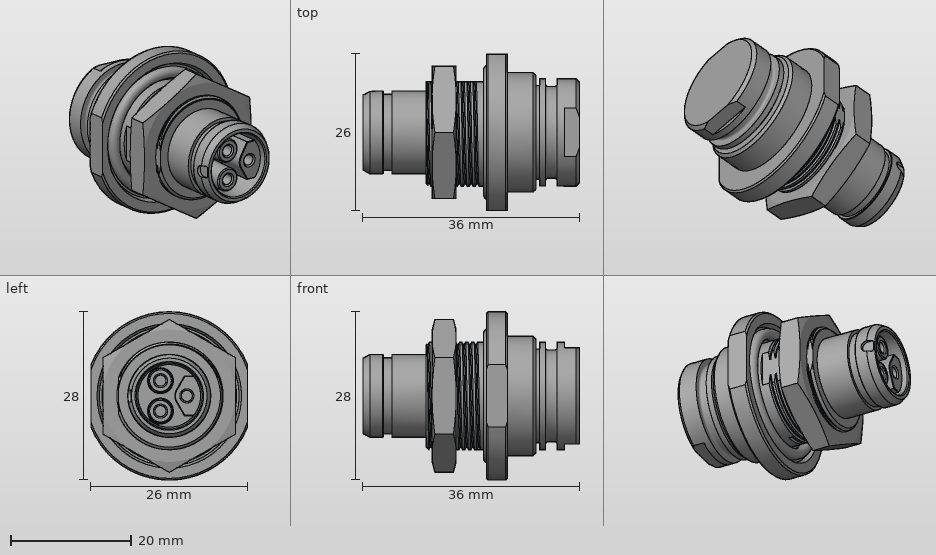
import cadquery as cq
import math

overall_length = 36.0

shank_radius = 6.9
nose_chamfer_length = 1.2
nose_tip_radius = 6.27
latch_groove_start = 3.3
latch_groove_end = 4.8
latch_groove_radius = 6.35
latch_edge_chamfer = 0.1

marker_width = 2.0
marker_length = 2.2
marker_floor_y = 6.33

thread_start = 10.5
thread_radius = 8.95
thread_root_radius = 8.55
thread_tip_radius = 8.5
thread_pitch = 1.0
thread_turns = 10.0
thread_helix_start = 9.25
thread_root_width = 0.2
thread_mouth_width = 0.6
thread_cutter_rise = 0.3
barrel_flat_y = 8.42

flange_start = 20.5
flange_end = 24.0
flange_radius = 14.0
flange_chamfer = 0.3
flange_across_flats = 26.0
seal_groove_radius = 12.0
seal_groove_floor_radius = 11.6
seal_groove_depth = 1.0
seal_section_radius = 0.9
seal_center_radius = 10.3
seal_protrusion = 0.5

collar_end = 28.75
collar_radius = 9.95
collar_chamfer = 0.5
rear_neck_radius = 7.8
ring_start = 29.35
ring_end = 30.35
ring_radius = 8.95
rear_groove_radius = 7.65
rear_groove_end = 32.25
rear_groove_fillet = 0.4
rear_chamfer = 0.6
rear_flat_start = 33.5
rear_across_flats = 16.0

bore_mouth_radius = 5.5
bore_floor_radius = 5.2
bore_chamfer = 0.2
bore_depth = 7.0
contact_count = 3
contact_circle_radius = 2.92
contact_face_x = 1.05
sleeve_tip_radius = 2.0
sleeve_base_radius = 2.15
sleeve_chamfer = 0.2
contact_hole_radius = 0.92
contact_hole_depth = 5.0
contact_countersink = 0.25
key_nose_radius = 2.0
key_half_height = 3.3
key_side_angle = 30.0
key_chamfer = 0.1

nut_start = 11.5
nut_thickness = 4.0
nut_across_flats = 22.0
nut_bore_radius = 8.7
nut_chamfer_angle = 15.0


def x_cylinder(radius, start, length, y=0.0, z=0.0):
    """Cylinder along +X."""
    return cq.Workplane("YZ", origin=(start, y, z)).circle(radius).extrude(length)


def centered_box(start, end, size_y, size_z):
    """Box between two X stations, centred on the X axis."""
    return cq.Workplane("YZ", origin=(start, 0, 0)).rect(size_y, size_z).extrude(end - start)


def revolve_about_x(profile):
    return profile.close().revolve(360, (0, 0, 0), (1, 0, 0))


def turned_body():
    fillet = rear_groove_fillet
    fillet_drop = fillet * math.sqrt(0.5)
    fillet_top = rear_groove_radius + fillet
    groove_floor_start = ring_end + fillet
    groove_floor_end = rear_groove_end - fillet
    profile = (
        cq.Workplane("XY")
        .moveTo(0, 0)
        .lineTo(0, nose_tip_radius)
        .lineTo(nose_chamfer_length, shank_radius)
        .lineTo(latch_groove_start, shank_radius)
        .lineTo(latch_groove_start + latch_edge_chamfer, shank_radius - latch_edge_chamfer)
        .lineTo(latch_groove_start + latch_edge_chamfer, latch_groove_radius)
        .lineTo(latch_groove_end, latch_groove_radius)
        .lineTo(latch_groove_end, shank_radius)
        .lineTo(thread_start, shank_radius)
        .lineTo(thread_start, thread_radius)
        .lineTo(flange_start, thread_radius)
        .lineTo(flange_start, flange_radius - flange_chamfer)
        .lineTo(flange_start + flange_chamfer, flange_radius)
        .lineTo(flange_end - flange_chamfer, flange_radius)
        .lineTo(flange_end, flange_radius - flange_chamfer)
        .lineTo(flange_end, collar_radius)
        .lineTo(collar_end - collar_chamfer, collar_radius)
        .lineTo(collar_end, collar_radius - collar_chamfer)
        .lineTo(collar_end, rear_neck_radius)
        .lineTo(ring_start, rear_neck_radius)
        .lineTo(ring_start, ring_radius)
        .lineTo(ring_end, ring_radius)
        .lineTo(ring_end, fillet_top)
        .threePointArc(
            (groove_floor_start - fillet_drop, fillet_top - fillet_drop),
            (groove_floor_start, rear_groove_radius),
        )
        .lineTo(groove_floor_end, rear_groove_radius)
        .threePointArc(
            (groove_floor_end + fillet_drop, fillet_top - fillet_drop),
            (rear_groove_end, fillet_top),
        )
        .lineTo(rear_groove_end, ring_radius)
        .lineTo(overall_length - rear_chamfer, ring_radius)
        .lineTo(overall_length, ring_radius - rear_chamfer)
        .lineTo(overall_length, 0)
    )
    return revolve_about_x(profile)


def trim_flats(body):
    """Keep the flange within its Y flats and the rear end within its Z flats."""
    stock = 2 * flange_radius + 1
    flange_keep = centered_box(flange_start, flange_end, flange_across_flats, stock)
    rear_keep = centered_box(rear_flat_start, overall_length, stock, rear_across_flats)
    flange_trim = centered_box(flange_start, flange_end, stock, stock).cut(flange_keep)
    rear_trim = centered_box(rear_flat_start, overall_length, stock, stock).cut(rear_keep)
    return body.cut(flange_trim).cut(rear_trim)


def seal_groove():
    """Annular groove in the flange face with a tapered outer wall."""
    floor_x = flange_start + seal_groove_depth
    return revolve_about_x(
        cq.Workplane("XY")
        .moveTo(flange_start, thread_radius)
        .lineTo(flange_start, seal_groove_radius)
        .lineTo(floor_x, seal_groove_floor_radius)
        .lineTo(floor_x, thread_radius)
    )


def seal_bead():
    """Half-round sealing bead standing on the groove floor."""
    tip_x = flange_start - seal_protrusion
    center_x = tip_x + seal_section_radius
    floor_x = flange_start + seal_groove_depth
    inner = seal_center_radius - seal_section_radius
    outer = seal_center_radius + seal_section_radius
    return revolve_about_x(
        cq.Workplane("XY")
        .moveTo(floor_x, inner)
        .lineTo(center_x, inner)
        .threePointArc((tip_x, seal_center_radius), (center_x, outer))
        .lineTo(floor_x, outer)
    )


def thread_groove():
    """Right-handed trapezoidal helical groove starting at the -Z side of the barrel."""
    helix = cq.Wire.makeHelix(thread_pitch, thread_pitch * thread_turns, thread_root_radius)
    depth = thread_radius - thread_root_radius
    flank_slope = (thread_mouth_width - thread_root_width) / 2 / depth
    outer_half_width = thread_mouth_width / 2 + flank_slope * thread_cutter_rise
    outer_radius = thread_radius + thread_cutter_rise
    groove = (
        cq.Workplane("XZ")
        .moveTo(thread_root_radius, -thread_root_width / 2)
        .lineTo(outer_radius, -outer_half_width)
        .lineTo(outer_radius, outer_half_width)
        .lineTo(thread_root_radius, thread_root_width / 2)
        .close()
        .sweep(cq.Workplane(obj=helix), isFrenet=True)
    )
    return groove.rotate((0, 0, 0), (0, 1, 0), 90).translate((thread_helix_start, 0, 0))


def thread_lead_in():
    """Ring that chamfers the first turn of the thread, cut after the groove."""
    size = thread_radius + thread_cutter_rise - thread_tip_radius
    return revolve_about_x(
        cq.Workplane("XY")
        .moveTo(thread_start, thread_tip_radius)
        .lineTo(thread_start + size, thread_tip_radius + size)
        .lineTo(thread_start, thread_tip_radius + size)
    )


def barrel_flat():
    height = flange_radius
    length = flange_start - seal_protrusion - thread_start
    depth = thread_radius
    return cq.Workplane("XY").box(length, depth, height, centered=(False, False, True)).translate(
        (thread_start, barrel_flat_y, 0)
    )


def nose_bore():
    """Mating bore with a chamfered mouth and a wall tapering towards the floor."""
    return revolve_about_x(
        cq.Workplane("XY")
        .moveTo(0, 0)
        .lineTo(0, bore_mouth_radius + bore_chamfer)
        .lineTo(bore_chamfer, bore_mouth_radius)
        .lineTo(bore_depth, bore_floor_radius)
        .lineTo(bore_depth, 0)
    )


def marker_slot():
    """Shallow round-ended slot in the nose, open at the mating face."""
    return (
        cq.Workplane("XZ", origin=(0, marker_floor_y, 0))
        .slot2D(2 * marker_length, marker_width)
        .extrude(-shank_radius)
    )


def contact_position(index):
    """(y, z) of a contact; contact 0 is the keyed one on the -Y side."""
    angle = math.pi + index * 2 * math.pi / contact_count
    return contact_circle_radius * math.cos(angle), contact_circle_radius * math.sin(angle)


def contact_sleeve(index):
    """Slightly tapered sleeve with a chamfered tip, standing on the bore floor."""
    y, z = contact_position(index)
    sleeve = cq.Solid.makeCone(
        sleeve_tip_radius, sleeve_base_radius, bore_depth - contact_face_x,
        cq.Vector(contact_face_x, y, z), cq.Vector(1, 0, 0),
    )
    return cq.Workplane(obj=sleeve).faces("<X").chamfer(sleeve_chamfer)


def contact_key():
    """Key block around contact 0: a rounded nose flaring back to the rim of the bore floor."""
    angle = math.radians(key_side_angle)
    center_y = -contact_circle_radius
    tangent_y = center_y + key_nose_radius * math.cos(angle)
    tangent_z = key_nose_radius * math.sin(angle)
    corner_y = tangent_y - (key_half_height - tangent_z) * math.tan(angle)
    length = bore_depth - contact_face_x
    block = (
        cq.Workplane("YZ", origin=(contact_face_x, 0, 0))
        .moveTo(-bore_mouth_radius, -key_half_height)
        .lineTo(corner_y, -key_half_height)
        .lineTo(tangent_y, -tangent_z)
        .threePointArc((center_y + key_nose_radius, 0), (tangent_y, tangent_z))
        .lineTo(corner_y, key_half_height)
        .lineTo(-bore_mouth_radius, key_half_height)
        .close()
        .extrude(length)
        .faces("<X")
        .chamfer(key_chamfer)
    )
    return block.intersect(x_cylinder(bore_floor_radius, contact_face_x, length))


def contact_hole(index):
    """Countersunk blind socket hole."""
    y, z = contact_position(index)
    mouth_radius = contact_hole_radius + contact_countersink
    hole = x_cylinder(contact_hole_radius, contact_face_x, contact_hole_depth, y, z)
    countersink = cq.Solid.makeCone(
        mouth_radius, contact_hole_radius, contact_countersink,
        cq.Vector(contact_face_x, y, z), cq.Vector(1, 0, 0),
    )
    return hole.union(cq.Workplane(obj=countersink))


def make_housing():
    body = trim_flats(turned_body())
    body = body.cut(thread_groove()).cut(thread_lead_in()).cut(barrel_flat())
    body = body.cut(seal_groove()).union(seal_bead())
    body = body.cut(nose_bore()).cut(marker_slot()).union(contact_key())
    for index in range(1, contact_count):
        body = body.union(contact_sleeve(index))
    for index in range(contact_count):
        body = body.cut(contact_hole(index))
    return body


def make_nut(mating_body):
    """Hexagonal nut, chamfered on both faces, whose bore takes the form of the barrel thread."""
    corner_radius = nut_across_flats / math.sqrt(3)
    face_radius = nut_across_flats / 2
    chamfer_length = (corner_radius - face_radius) * math.tan(math.radians(nut_chamfer_angle))
    nut_end = nut_start + nut_thickness
    hexagon = (
        cq.Workplane("YZ", origin=(nut_start, 0, 0))
        .polygon(6, 2 * corner_radius)
        .extrude(nut_thickness)
        .rotate((0, 0, 0), (1, 0, 0), 90)
    )
    chamfer_envelope = revolve_about_x(
        cq.Workplane("XY")
        .moveTo(nut_start, 0)
        .lineTo(nut_start, face_radius)
        .lineTo(nut_start + chamfer_length, corner_radius)
        .lineTo(nut_end - chamfer_length, corner_radius)
        .lineTo(nut_end, face_radius)
        .lineTo(nut_end, 0)
    )
    bore = x_cylinder(nut_bore_radius, nut_start, nut_thickness)
    return hexagon.intersect(chamfer_envelope).cut(bore).cut(mating_body)


housing = make_housing()
nut = make_nut(housing)

result = cq.Compound.makeCompound([housing.solids().val(), nut.solids().val()])